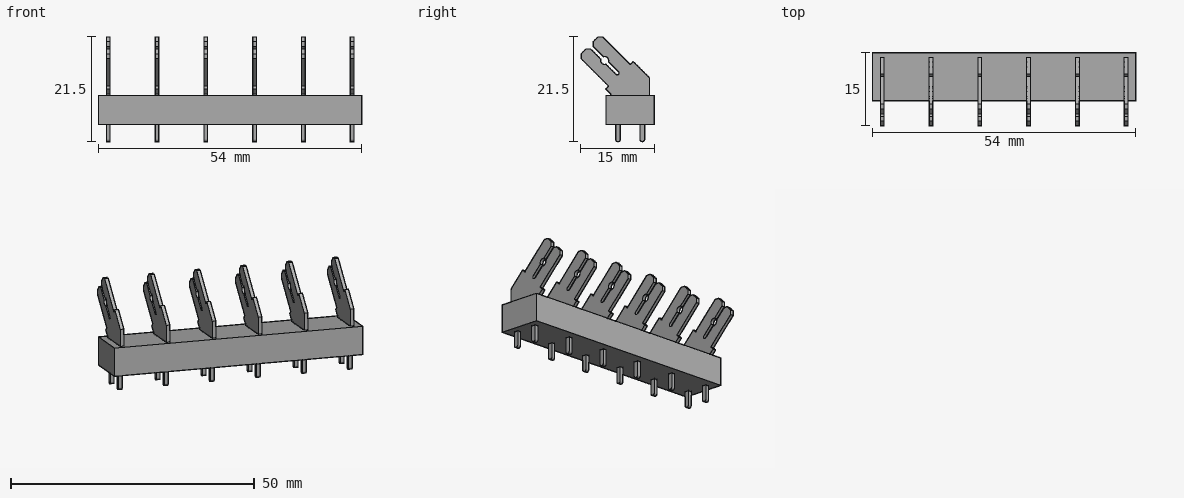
import cadquery as cq
import math

HOUSING_LENGTH = 54.0
HOUSING_WIDTH = 9.9
HOUSING_HEIGHT = 6.0

TERMINAL_COUNT = 6
TERMINAL_PITCH = 10.0
TERMINAL_THICKNESS = 0.8

LEG_PITCH = 5.0
LEG_WIDTH = 1.0
LEG_PROJECTION = 3.5
LEG_TIP_RADIUS = LEG_WIDTH / 2

SHOULDER_WIDTH = 8.0
BEND_HEIGHT = 1.94
BEND_ANGLE = 45.0
SHOULDER_LENGTH = 3.1

BLADE_WIDTH = 6.3
BLADE_LENGTH = 11.78
TIP_CHAMFER = 0.7
SLOT_WIDTH = 0.7
SLOT_START = 3.4
HOLE_DISTANCE = 7.4
HOLE_DIAMETER = 1.6

BEND_Z = HOUSING_HEIGHT + BEND_HEIGHT
TERMINAL_XS = [(i - (TERMINAL_COUNT - 1) / 2) * TERMINAL_PITCH for i in range(TERMINAL_COUNT)]
LEG_YS = [-LEG_PITCH / 2, LEG_PITCH / 2]


def side_plane(x):
    """YZ sketch plane (local x = +Y, local y = +Z) on the low-X face of a terminal."""
    return cq.Workplane("YZ", origin=(x - TERMINAL_THICKNESS / 2, 0, 0))


def slope_plane(x):
    """Sketch plane at the bend point: local x runs up the slope, local y across it."""
    angle = math.radians(BEND_ANGLE)
    return cq.Workplane(
        cq.Plane(
            origin=(x - TERMINAL_THICKNESS / 2, 0, BEND_Z),
            xDir=(0, -math.cos(angle), math.sin(angle)),
            normal=(1, 0, 0),
        )
    )


def make_shoulder(x):
    """Bent plate standing on the housing, ending square to the slope."""
    half = SHOULDER_WIDTH / 2
    angle = math.radians(BEND_ANGLE)
    along_y = -SHOULDER_LENGTH * math.cos(angle)
    along_z = SHOULDER_LENGTH * math.sin(angle)
    across_y = half * math.sin(angle)
    across_z = half * math.cos(angle)
    miter_rise = half * math.tan(math.radians(BEND_ANGLE / 2))
    return (
        side_plane(x)
        .moveTo(-half, HOUSING_HEIGHT)
        .lineTo(half, HOUSING_HEIGHT)
        .lineTo(half, BEND_Z + miter_rise)
        .lineTo(along_y + across_y, BEND_Z + along_z + across_z)
        .lineTo(along_y - across_y, BEND_Z + along_z - across_z)
        .lineTo(-half, BEND_Z - miter_rise)
        .close()
        .extrude(TERMINAL_THICKNESS)
    )


def make_blade(x):
    """Blade from the shoulder end, split by a round-bottomed slot into two chamfered prongs."""
    slot_end_centre = SLOT_START + SLOT_WIDTH / 2
    slot_length = BLADE_LENGTH - slot_end_centre
    blade_span = BLADE_LENGTH - SHOULDER_LENGTH
    blade = (
        slope_plane(x)
        .center(SHOULDER_LENGTH + blade_span / 2, 0)
        .rect(blade_span, BLADE_WIDTH)
        .extrude(TERMINAL_THICKNESS)
    )
    slot = (
        slope_plane(x)
        .center(slot_end_centre + slot_length / 2, 0)
        .rect(slot_length, SLOT_WIDTH)
        .extrude(TERMINAL_THICKNESS)
    )
    slot_end = slope_plane(x).center(slot_end_centre, 0).circle(SLOT_WIDTH / 2).extrude(TERMINAL_THICKNESS)
    hole = slope_plane(x).center(HOLE_DISTANCE, 0).circle(HOLE_DIAMETER / 2).extrude(TERMINAL_THICKNESS)
    tip_direction = slope_plane(x).plane.xDir
    forked = blade.cut(slot)
    tip_corners = forked.faces(cq.selectors.DirectionMinMaxSelector(tip_direction)).edges("|X")
    chamfered = forked.newObject(tip_corners.vals()).chamfer(TIP_CHAMFER)
    return chamfered.cut(slot_end).cut(hole)


def make_leg(x, y):
    """Straight leg from the top of the housing down to a rounded tip."""
    tip_z = -LEG_PROJECTION
    return (
        side_plane(x)
        .moveTo(y - LEG_WIDTH / 2, HOUSING_HEIGHT)
        .lineTo(y - LEG_WIDTH / 2, tip_z + LEG_TIP_RADIUS)
        .threePointArc((y, tip_z), (y + LEG_WIDTH / 2, tip_z + LEG_TIP_RADIUS))
        .lineTo(y + LEG_WIDTH / 2, HOUSING_HEIGHT)
        .close()
        .extrude(TERMINAL_THICKNESS)
    )


def make_terminal(x):
    """One flat terminal: shoulder plate and two legs, with the forked blade on the slope."""
    terminal = make_shoulder(x).union(make_blade(x))
    for y in LEG_YS:
        terminal = terminal.union(make_leg(x, y))
    return terminal.solids()


def make_housing():
    """Block with a rectangular through hole for every leg."""
    housing = cq.Workplane("XY").box(
        HOUSING_LENGTH, HOUSING_WIDTH, HOUSING_HEIGHT, centered=(True, True, False)
    )
    leg_holes = (
        cq.Workplane("XY")
        .pushPoints([(x, y) for x in TERMINAL_XS for y in LEG_YS])
        .rect(TERMINAL_THICKNESS, LEG_WIDTH)
        .extrude(HOUSING_HEIGHT)
    )
    return housing.cut(leg_holes).solids()


housing = make_housing()
terminals = [make_terminal(x) for x in TERMINAL_XS]

result = cq.Compound.makeCompound([housing.val(), *[terminal.val() for terminal in terminals]])